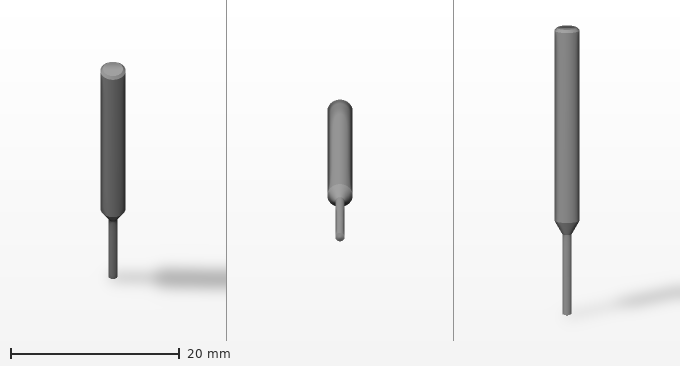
import cadquery as cq

total_length = 35.0
shank_diameter = 3.0
neck_diameter = 1.12
cutter_diameter = 1.12
end_chamfer = 0.3
point_height = 0.2
cutter_top = 4.8
neck_top = 9.9
taper_top = 11.6

shank_radius = shank_diameter / 2
neck_radius = neck_diameter / 2
cutter_radius = cutter_diameter / 2


def make_holder():
    """Bevelled shank, taper and neck, revolved about Z with the seam toward -Y."""
    profile = (
        cq.Workplane("YZ")
        .moveTo(0, cutter_top)
        .lineTo(-neck_radius, cutter_top)
        .lineTo(-neck_radius, neck_top)
        .lineTo(-shank_radius, taper_top)
        .lineTo(-shank_radius, total_length - end_chamfer)
        .lineTo(-shank_radius + end_chamfer, total_length)
        .lineTo(0, total_length)
        .close()
    )
    return profile.revolve(360, (0, 0), (0, 1))


def make_cutter():
    """Round cutter with a conical point, revolved about Z with the seam toward -X."""
    profile = (
        cq.Workplane("XZ")
        .moveTo(0, 0)
        .lineTo(-cutter_radius, point_height)
        .lineTo(-cutter_radius, cutter_top)
        .lineTo(0, cutter_top)
        .close()
    )
    return profile.revolve(360, (0, 0), (0, 1))


holder = make_holder()
cutter = make_cutter()

result = cq.Compound.makeCompound([holder.val(), cutter.val()])